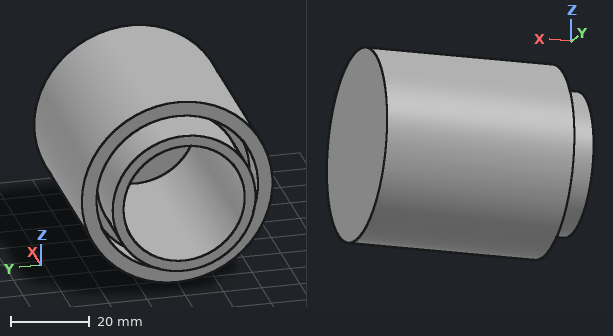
import cadquery as cq

total_length = 57.2
sleeve_diameter = 50.0
groove_outer_diameter = 42.3
tube_diameter = 37.4
bore_diameter = 31.75
tube_protrusion = 7.2
groove_depth = 9.0
end_wall = 7.2

sleeve_length = total_length - tube_protrusion
bore_depth = total_length - end_wall
tube_face = -total_length / 2
sleeve_face = tube_face + tube_protrusion


def cylinder_along_x(start, length, diameter):
    """Solid cylinder on the X axis, running toward +X from start."""
    return cq.Workplane("YZ", origin=(start, 0, 0)).circle(diameter / 2).extrude(length)


sleeve = cylinder_along_x(sleeve_face, sleeve_length, sleeve_diameter)
sleeve = sleeve.cut(cylinder_along_x(sleeve_face, groove_depth, groove_outer_diameter))

tube = cylinder_along_x(tube_face, total_length, tube_diameter)

bore = cylinder_along_x(tube_face, bore_depth, bore_diameter)

result = sleeve.union(tube).cut(bore)